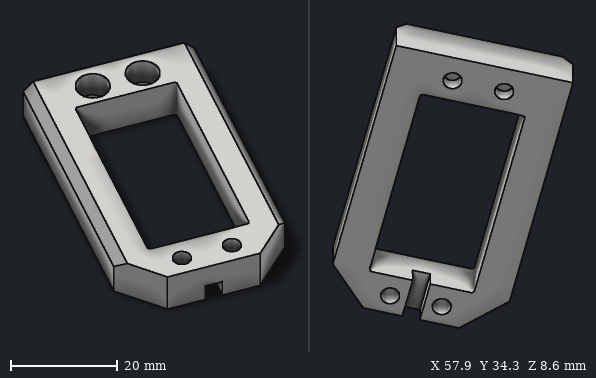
import cadquery as cq

length = 57.85
width = 34.3
height = 8.6

corner_cut_x = 8.0
corner_cut_y = 7.85
top_bevel = 2.0

hole_diameter = 3.5
counterbore_diameter = 6.5
counterbore_floor = 3.0
hole_edge_distance = 5.0
hole_pitch_x = 49.0
hole_pitch_y = 10.0

window_length = 40.3
window_width = 20.3
window_corner_radius = 0.6

channel_width = 3.4
channel_height = 3.6

near_holes_x = hole_edge_distance
far_holes_x = near_holes_x + hole_pitch_x
window_center_x = (near_holes_x + far_holes_x) / 2


def make_body():
    """Plate with bevelled long top edges and two angled corners."""
    half_width = width / 2
    section = [
        (-half_width, 0),
        (half_width, 0),
        (half_width, height - top_bevel),
        (half_width - top_bevel, height),
        (-half_width + top_bevel, height),
        (-half_width, height - top_bevel),
    ]
    outline = [
        (0, -half_width),
        (length - corner_cut_x, -half_width),
        (length, -half_width + corner_cut_y),
        (length, half_width - corner_cut_y),
        (length - corner_cut_x, half_width),
        (0, half_width),
    ]
    bar = cq.Workplane("YZ").polyline(section).close().extrude(length)
    footprint = cq.Workplane("XY").polyline(outline).close().extrude(height)
    return bar.intersect(footprint)


def make_window():
    return (
        cq.Workplane("XY")
        .center(window_center_x, 0)
        .rect(window_length, window_width)
        .extrude(height)
        .edges("|Z")
        .fillet(window_corner_radius)
    )


def make_hole_pair(x, diameter, bottom):
    """Two vertical cylinders at the given X, from bottom up to the top face."""
    places = [(x, -hole_pitch_y / 2), (x, hole_pitch_y / 2)]
    return (
        cq.Workplane("XY", origin=(0, 0, bottom))
        .pushPoints(places)
        .circle(diameter / 2)
        .extrude(height - bottom)
    )


def make_channel():
    """Open-bottomed channel from the window out through the +X face."""
    return (
        cq.Workplane("XY")
        .box(length - window_center_x, channel_width, channel_height, centered=(False, True, False))
        .translate((window_center_x, 0, 0))
    )


result = make_body().cut(make_window()).cut(make_channel())
for holes_x in (near_holes_x, far_holes_x):
    result = result.cut(make_hole_pair(holes_x, hole_diameter, 0))
result = result.cut(make_hole_pair(near_holes_x, counterbore_diameter, counterbore_floor))